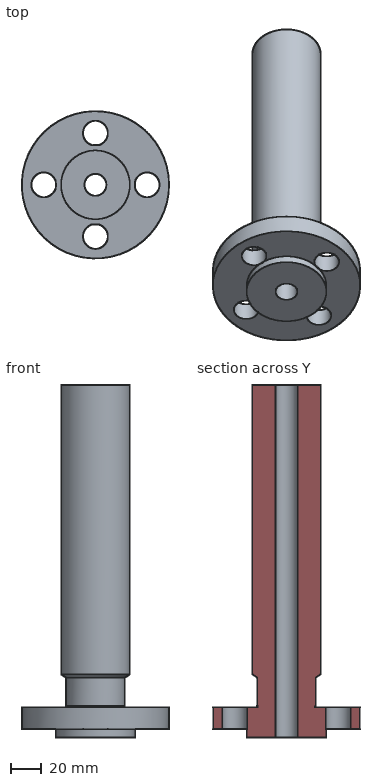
import cadquery as cq
import math

total_height = 227.81
flange_diameter = 95.25
raised_face_diameter = 51.5
raised_face_height = 5.6
flange_thickness = 14.2
flange_top = raised_face_height + flange_thickness

shank_diameter = 38.1
shank_taper_height = 1.0
shank_taper_depth = 0.6
body_diameter = 44.45
body_bottom = 38.8
body_cone_angle = 33
body_cone_width = (body_diameter - shank_diameter) / 2
body_cone_height = body_cone_width * math.tan(math.radians(body_cone_angle))

bore_diameter = 14.0
bolt_hole_diameter = 15.9
bolt_circle_diameter = 66.7
bolt_count = 4


def cylinder(diameter, bottom, top):
    """Solid cylinder on the Z axis between two heights."""
    return cq.Workplane("XY").workplane(offset=bottom).circle(diameter / 2).extrude(top - bottom)


def make_flange():
    """Flange disc with its raised face below and the bolt holes through the disc."""
    disc = cylinder(flange_diameter, raised_face_height, flange_top)
    bolt_holes = (
        cq.Workplane("XY")
        .polarArray(bolt_circle_diameter / 2, 0, 360, bolt_count)
        .circle(bolt_hole_diameter / 2)
        .extrude(flange_top)
    )
    raised_face = cylinder(raised_face_diameter, 0, raised_face_height)
    return disc.cut(bolt_holes).union(raised_face)


def make_shank():
    """Neck between flange and body, tapering in slightly where it meets the flange."""
    shank = cylinder(shank_diameter, flange_top, body_bottom)
    return shank.faces("<Z").edges().chamfer(shank_taper_height, shank_taper_depth)


def make_body():
    """Long cylindrical body whose lower end narrows in a cone to the shank."""
    body = cylinder(body_diameter, body_bottom, total_height)
    return body.faces("<Z").edges().chamfer(body_cone_height, body_cone_width)


bore = cylinder(bore_diameter, 0, total_height)
result = make_flange().union(make_shank()).union(make_body()).cut(bore)